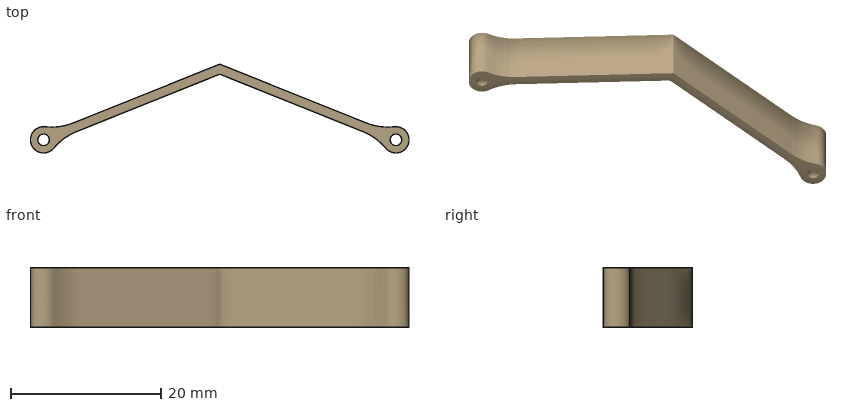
import cadquery as cq
import math

length = 50.5
depth = 11.85
height = 8.0
eye_radius = 1.75
hole_diameter = 1.5
arm_thickness = 1.25
neck_radius = 7.5
inner_bend_radius = 0.6

eye_x = length / 2 - eye_radius
apex_y = depth - eye_radius
half_thickness = arm_thickness / 2

slope = math.acos(half_thickness / math.hypot(eye_x, apex_y)) - math.atan2(eye_x, apex_y)
inner_apex_y = apex_y - arm_thickness / math.cos(slope)
eye_centers = [(-eye_x, 0), (eye_x, 0)]


def arm_point(side, along, offset):
    """Point at a distance along an arm from its eye, offset outward from the centreline."""
    x = eye_x - along * math.cos(slope) + offset * math.sin(slope)
    y = along * math.sin(slope) + offset * math.cos(slope)
    return (side * x, y)


def make_arms():
    outline = [
        arm_point(-1, 0, half_thickness),
        (0, apex_y),
        arm_point(1, 0, half_thickness),
        arm_point(1, 0, -half_thickness),
        (0, inner_apex_y),
        arm_point(-1, 0, -half_thickness),
    ]
    return cq.Workplane("XY").polyline(outline).close().extrude(height)


def round_edge(body, point, radius):
    """Fillet the vertical edge that passes through a point in plan."""
    x, y = point
    edge = cq.selectors.NearestToPointSelector((x, y, height / 2))
    return body.edges("|Z").edges(edge).fillet(radius)


eyes = cq.Workplane("XY").pushPoints(eye_centers).circle(eye_radius).extrude(height)
body = make_arms().union(eyes)

body = round_edge(body, (0, inner_apex_y), inner_bend_radius)
junction_distance = math.sqrt(eye_radius**2 - half_thickness**2)
for side in (-1, 1):
    for offset in (-half_thickness, half_thickness):
        body = round_edge(body, arm_point(side, junction_distance, offset), neck_radius)

holes = cq.Workplane("XY").pushPoints(eye_centers).circle(hole_diameter / 2).extrude(height)
result = body.cut(holes)